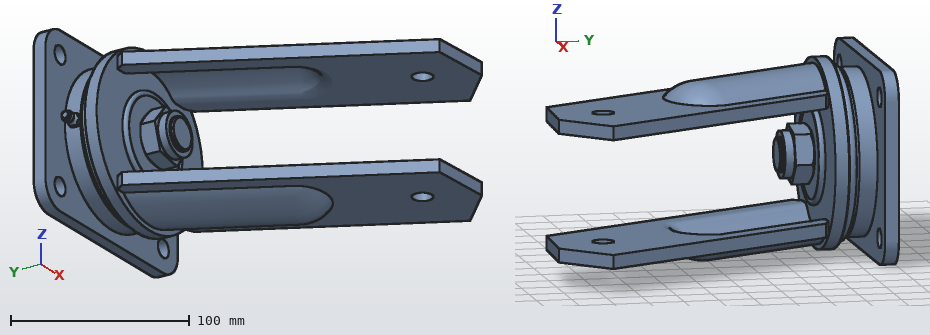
import cadquery as cq
import math


overall_length = 198.7

plate_width = 135.0
plate_height = 110.0
plate_thickness = 8.0
plate_corner_radius = 15.1
plate_hole_diameter = 11.1
plate_hole_spacing_x = 105.1
plate_hole_spacing_z = 80.0

ring_end = 18.3
seal_end = 25.0
flange_end = 33.4
washer_face = 36.5
hex_end = 47.9
nut_end = 53.2
bolt_end = 55.5

ring_radius = 47.7
bead_radius = 2.5

flange_radius = 54.0
flange_chamfer = 0.5

lean_angle = 27.5
lean_sine = math.sin(math.radians(lean_angle))
lean_cosine = math.cos(math.radians(lean_angle))
leg_center = -15.0
leg_half_width = 35.2
leg_inner_z = 32.5
leg_thickness = 8.0
leg_outer_z = leg_inner_z + leg_thickness
heel_along = 17.7
toe_along = 51.3
left_end_along = 196.0
right_end_along = 206.0
tip_along = (overall_length + leg_center * lean_sine) / lean_cosine
heel_x = -32.8
toe_x = 35.5
axle_hole_diameter = 12.1
axle_hole_along = 183.0
axle_hole_across = -16.3

rib_half_width = 24.2
rib_crest_z = 50.9
rib_dome_along = 112.9
rib_dome_length = 19.5

rim_height = 3.8
rim_radius = rim_height / 2
rim_center_radius = 27.2

nut_across_flats = 30.0
nut_face_radius = 14.3
nut_turn = 11.2
nut_chamfer_slope = math.tan(math.radians(30))
collar_radius = 13.5
bolt_radius = 10.1
bolt_chamfer = 1.0

nipple_depth = 15.0
nipple_hex_radius = 4.2
nipple_neck_radius = 2.0
nipple_head_radius = 3.2
nipple_tip_radius = 2.2
nipple_head_bevel = 0.5
nipple_hex_end = 49.3
nipple_neck_start = 52.5
nipple_head_start = 53.6
nipple_head_end = 57.2
nipple_end = 58.5


def disc(radius, start, end):
    """Cylinder on the swivel axis between two distances from the back of the plate."""
    return cq.Workplane("XZ").workplane(offset=start).circle(radius).extrude(end - start)


def bead(center_radius, radius, distance):
    """Full round ring about the swivel axis."""
    return (
        cq.Workplane("XY")
        .center(center_radius, -distance)
        .circle(radius)
        .revolve(360, (-center_radius, 0), (-center_radius, 1))
    )


def bolt_blank():
    """Plain shank of the bolt, also the shape of the hole it fills in the other bodies."""
    return disc(bolt_radius, plate_thickness, bolt_end)


def make_plate():
    return (
        cq.Workplane("XZ")
        .rect(plate_width, plate_height)
        .extrude(plate_thickness)
        .edges("|Y")
        .fillet(plate_corner_radius)
        .faces("<Y")
        .workplane(origin=(0, 0, 0))
        .rarray(plate_hole_spacing_x, plate_hole_spacing_z, 2, 2)
        .hole(plate_hole_diameter)
    )


def make_ring():
    return disc(ring_radius, plate_thickness, ring_end).cut(bolt_blank())


def make_seal():
    bead_distance = seal_end - bead_radius
    return (
        disc(ring_radius, ring_end, seal_end)
        .union(bead(ring_radius, bead_radius, bead_distance))
        .cut(bolt_blank())
    )


def leg_point(along, across):
    """XY position from distances along the leaning leg direction and across it."""
    x = along * lean_sine + across * lean_cosine
    y = across * lean_sine - along * lean_cosine
    return (x, y)


def leg_outline_prism():
    """Leg outline pierced by the axle hole, from the flat inner face up to the crest of the rib."""
    left = leg_center - leg_half_width
    right = leg_center + leg_half_width
    outline = [
        (heel_x, -flange_end),
        leg_point(heel_along, left),
        leg_point(left_end_along, left),
        leg_point(tip_along, leg_center),
        leg_point(right_end_along, right),
        leg_point(toe_along, right),
        (toe_x, -flange_end),
    ]
    return (
        cq.Workplane("XY")
        .workplane(offset=leg_inner_z)
        .polyline(outline)
        .close()
        .moveTo(*leg_point(axle_hole_along, axle_hole_across))
        .circle(axle_hole_diameter / 2)
        .extrude(rib_crest_z - leg_inner_z)
    )


def rib_form(inset):
    """Arched bar with a barrel-shaped end, upright along -Y, shrunk by the inset."""
    rise = rib_crest_z - leg_outer_z
    arch_radius = (rib_half_width**2 + rise**2) / (2 * rise)
    arch_center_z = rib_crest_z - arch_radius
    dome_radius = (rib_dome_length**2 + rise**2) / (2 * rise)
    dome_axis_z = rib_crest_z - dome_radius

    radius = arch_radius - inset
    base_half_width = math.sqrt(radius**2 - (dome_axis_z - arch_center_z) ** 2)
    arch = (
        cq.Sketch()
        .segment((base_half_width, dome_axis_z), (-base_half_width, dome_axis_z))
        .arc((-base_half_width, dome_axis_z), (0, arch_center_z + radius), (base_half_width, dome_axis_z))
        .assemble()
    )
    section = cq.Workplane("XZ")
    bar = section.placeSketch(arch).extrude(rib_dome_along)
    barrel = section.placeSketch(arch).revolve(360, (0, dome_axis_z), (1, dome_axis_z))
    barrel = barrel.translate((0, -rib_dome_along, 0))
    return bar.union(barrel)


def ribbed_strip():
    """Strip along -Y, wider and longer than a leg, with the hollow rib pressed upwards out of it."""
    strip_width = 3 * leg_half_width
    edge_margin = leg_thickness / 4
    strip = (
        cq.Workplane("XY")
        .box(strip_width, tip_along, leg_thickness, centered=(True, False, False))
        .translate((0, -tip_along, leg_inner_z))
    )
    below_strip = (
        cq.Workplane("XY")
        .box(strip_width, 2 * tip_along, leg_inner_z, centered=(True, True, False))
    )
    outer_form = rib_form(0).cut(below_strip)
    strip = strip.union(outer_form).cut(rib_form(leg_thickness))
    mouth = cq.selectors.BoxSelector(
        (-rib_half_width, -rib_dome_along - rib_dome_length, leg_inner_z - edge_margin),
        (rib_half_width, -edge_margin, leg_inner_z + edge_margin),
    )
    return strip.edges(mouth).fillet(leg_thickness)


def make_leg():
    """Upper leg, leaning with its rib and trimmed to the leg outline."""
    return (
        ribbed_strip()
        .translate((leg_center, 0, 0))
        .rotate((0, 0, 0), (0, 0, 1), lean_angle)
        .intersect(leg_outline_prism())
    )


def make_fork():
    flange = disc(flange_radius, seal_end, flange_end).faces(">Y").chamfer(flange_chamfer)
    leg = make_leg()
    return flange.union(leg).union(leg.mirror("XY")).cut(bolt_blank())


def make_washer():
    rim = bead(rim_center_radius, rim_radius, flange_end + rim_radius)
    return disc(rim_center_radius, flange_end, washer_face).union(rim).cut(bolt_blank())


def make_nut():
    """Hexagon chamfered towards the washer, with a round locking collar."""
    corner_radius = nut_across_flats / 2 / math.cos(math.radians(30))
    hexagon = (
        cq.Workplane("XZ")
        .workplane(offset=washer_face)
        .polygon(6, 2 * corner_radius)
        .extrude(hex_end - washer_face)
        .rotate((0, 0, 0), (0, 1, 0), nut_turn)
    )
    chamfer_height = (corner_radius - nut_face_radius) * nut_chamfer_slope
    chamfer_envelope = (
        cq.Workplane("XY")
        .polyline(
            [
                (0, -washer_face),
                (nut_face_radius, -washer_face),
                (corner_radius, -washer_face - chamfer_height),
                (corner_radius, -hex_end),
                (0, -hex_end),
            ]
        )
        .close()
        .revolve(360, (0, 0), (0, 1))
    )
    collar = disc(collar_radius, hex_end, nut_end)
    return hexagon.intersect(chamfer_envelope).union(collar).cut(bolt_blank())


def make_bolt():
    return bolt_blank().faces("<Y").chamfer(bolt_chamfer)


def make_nipple():
    """Hexagonal base seated on the bearing ring and the seal, tapering to a neck, head and tip."""
    profile = [
        (0, 0),
        (0, nipple_hex_radius),
        (nipple_hex_end, nipple_hex_radius),
        (nipple_neck_start, nipple_neck_radius),
        (nipple_head_start, nipple_neck_radius),
        (nipple_head_start, nipple_head_radius),
        (nipple_head_end - nipple_head_bevel, nipple_head_radius),
        (nipple_head_end, nipple_tip_radius),
        (nipple_end, nipple_tip_radius),
        (nipple_end, 0),
    ]
    turned = (
        cq.Workplane("XY")
        .polyline([(-distance, radius - nipple_depth) for distance, radius in profile])
        .close()
        .revolve(360, (0, -nipple_depth), (1, -nipple_depth))
    )
    prism = (
        cq.Workplane("YZ")
        .center(-nipple_depth, 0)
        .polygon(6, 2 * nipple_hex_radius)
        .extrude(-nipple_end)
    )
    seat = disc(ring_radius, plate_thickness, seal_end)
    return turned.intersect(prism).cut(seat)


plate = make_plate()
ring = make_ring()
seal = make_seal()
fork = make_fork()
washer = make_washer()
nut = make_nut()
bolt = make_bolt()
nipple = make_nipple()

result = cq.Compound.makeCompound(
    [
        plate.val(),
        ring.val(),
        seal.val(),
        fork.val(),
        washer.val(),
        nut.val(),
        bolt.val(),
        nipple.val(),
    ]
)